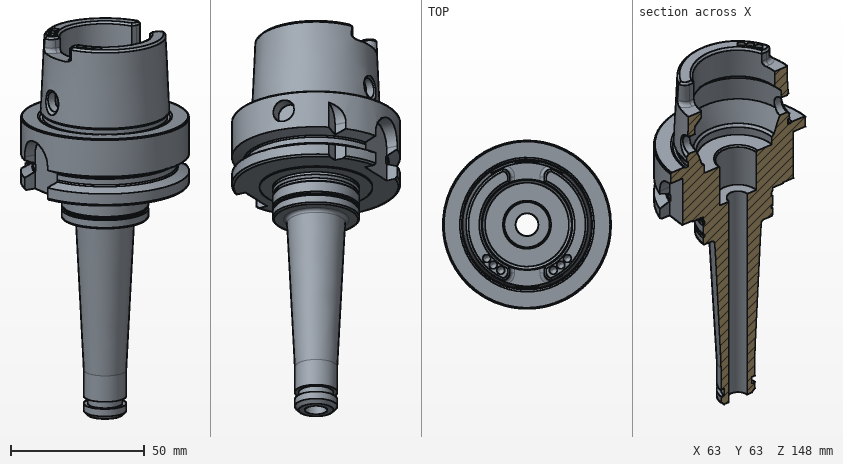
import cadquery as cq
import math

LENGTH = 148.0
FLANGE_TOP = 116.0
FLANGE_BOTTOM = 89.8

TAPER_TOP_R = 22.8
TAPER_BASE_R = 24.1
TAPER_BASE_Z = 118.1
UNDERCUT_R = 23.4
UNDERCUT_TOP = 117.4
RELIEF_R = 25.2
RELIEF_FLOOR_R = 24.4
RELIEF_FLOOR_Z = 115.6
RIM_CHAMFER = 0.9

FLANGE_R = 31.5
FLANGE_CHAMFER = 0.5
FLANGE_BOTTOM_CHAMFER = 0.7
GROOVE_FLOOR_R = 27.0
GROOVE_UPPER_EDGE_Z = 101.5
GROOVE_UPPER_FLOOR_Z = 99.6
GROOVE_LOWER_FLOOR_Z = 96.5
GROOVE_LOWER_EDGE_Z = 94.7
GROOVE_CORNER_CHAMFER = 0.5

PAD_R = 21.2
PAD_BOTTOM = 89.4
COLLAR_R = 16.3
COLLAR_BOTTOM = 76.7
COLLAR_CHAMFER = 0.6
COLLAR_GROOVE_DEPTH = 0.6
COLLAR_GROOVES = (
    (86.1, 87.2, 1.2),
    (80.5, 81.1, 0.5),
)
COLLAR_GROOVE_LOWER_SLOPE = 0.5

SHANK_TOP_R = 11.0
SHANK_FILLET = 1.3
TIP_R = 8.0
TIP_TOP = 17.3
TIP_CHAMFER = 1.5
NECK_R = 6.5
NECK_TOP = 7.1
NECK_BOTTOM = 4.3

BORE_R = 17.0
BORE_STRAIGHT_END = 135.3
CLAMP_R = 20.0
CLAMP_TOP = 132.3
CLAMP_BOTTOM = 122.8
SEAT_TOP = 114.0
SEAT_R = 15.7
SEAT_CHAMFER = 1.0
BORE_FLOOR = 109.5
THREAD_R = 8.5
THREAD_CHAMFER = 0.6
THREAD_BOTTOM = 91.8
THROUGH_R = 4.22

DRIVE_HALF_WIDTH = 6.4
DRIVE_FLAT_Y = 20.9
DRIVE_CORNER_R = 3.0
DRIVE_FLOOR_FILLET = 1.6
FRONT_DRIVE_FLOOR = 142.2
BACK_DRIVE_FLOOR = 138.2

MARK_R = 1.5
MARK_CIRCLE_R = 19.7
MARK_DEPTH = 1.5
MARK_ANGLES = (30, 40, 50)

CROSS_R = 3.77
CROSS_Z = 125.0
CROSS_SINK_R = 5.0

KEY_SLOT_R = 8.0
KEY_SLOT_Z = 103.0
KEY_SLOT_FLOOR_Y = 25.9
NOTCH_CORNER = 19.8
NOTCH_R = 8.0
NOTCH_Z = 104.2
CHIP_R = 4.22
CHIP_Z = 109.0
CHIP_ANGLE = 187.5
CHIP_DEPTH = 5.3

CLEAR = 37.0
EDGE_MARGIN = 0.1


def body():
    """Solid of revolution carrying every outer turned surface except the collar grooves."""
    outline = (
        cq.Workplane("XZ")
        .moveTo(0, 0)
        .lineTo(TIP_R - TIP_CHAMFER, 0)
        .lineTo(TIP_R, TIP_CHAMFER)
        .lineTo(TIP_R, NECK_BOTTOM)
        .lineTo(NECK_R, NECK_BOTTOM)
        .lineTo(NECK_R, NECK_TOP)
        .lineTo(TIP_R, NECK_TOP)
        .lineTo(TIP_R, TIP_TOP)
        .lineTo(SHANK_TOP_R, COLLAR_BOTTOM - SHANK_FILLET)
        .radiusArc((SHANK_TOP_R + SHANK_FILLET, COLLAR_BOTTOM), SHANK_FILLET)
        .lineTo(COLLAR_R - COLLAR_CHAMFER, COLLAR_BOTTOM)
        .lineTo(COLLAR_R, COLLAR_BOTTOM + COLLAR_CHAMFER)
        .lineTo(COLLAR_R, PAD_BOTTOM)
        .lineTo(PAD_R, PAD_BOTTOM)
        .lineTo(PAD_R, FLANGE_BOTTOM)
        .lineTo(FLANGE_R - FLANGE_BOTTOM_CHAMFER, FLANGE_BOTTOM)
        .lineTo(FLANGE_R, FLANGE_BOTTOM + FLANGE_BOTTOM_CHAMFER)
        .lineTo(FLANGE_R, GROOVE_LOWER_EDGE_Z)
        .lineTo(GROOVE_FLOOR_R, GROOVE_LOWER_FLOOR_Z)
        .lineTo(GROOVE_FLOOR_R, GROOVE_UPPER_FLOOR_Z)
        .lineTo(FLANGE_R, GROOVE_UPPER_EDGE_Z)
        .lineTo(FLANGE_R, FLANGE_TOP - FLANGE_CHAMFER)
        .lineTo(FLANGE_R - FLANGE_CHAMFER, FLANGE_TOP)
        .lineTo(RELIEF_R, FLANGE_TOP)
        .lineTo(RELIEF_FLOOR_R, RELIEF_FLOOR_Z)
        .lineTo(UNDERCUT_R, RELIEF_FLOOR_Z)
        .lineTo(UNDERCUT_R, UNDERCUT_TOP)
        .lineTo(TAPER_BASE_R, TAPER_BASE_Z)
        .lineTo(TAPER_TOP_R, LENGTH - RIM_CHAMFER)
        .lineTo(TAPER_TOP_R - RIM_CHAMFER, LENGTH)
        .lineTo(0, LENGTH)
        .close()
    )
    solid = outline.revolve(360, (0, 0, 0), (0, 1, 0))
    floor_edges = cq.selectors.BoxSelector(
        (-CLEAR, -CLEAR, GROOVE_LOWER_FLOOR_Z - EDGE_MARGIN),
        (CLEAR, CLEAR, GROOVE_UPPER_FLOOR_Z + EDGE_MARGIN),
    )
    return solid.edges("%CIRCLE").edges(floor_edges).chamfer(GROOVE_CORNER_CHAMFER)


def collar_groove(floor_bottom, floor_top, upper_slope):
    """Ring groove with a sloped wall above and below its floor."""
    floor_r = COLLAR_R - COLLAR_GROOVE_DEPTH
    profile = (
        cq.Workplane("XZ")
        .moveTo(COLLAR_R, floor_bottom - COLLAR_GROOVE_LOWER_SLOPE)
        .lineTo(floor_r, floor_bottom)
        .lineTo(floor_r, floor_top)
        .lineTo(COLLAR_R, floor_top + upper_slope)
        .close()
    )
    return profile.revolve(360, (0, 0, 0), (0, 1, 0))


def bore():
    outline = (
        cq.Workplane("XZ")
        .moveTo(0, 0)
        .lineTo(THROUGH_R, 0)
        .lineTo(THROUGH_R, THREAD_BOTTOM)
        .lineTo(THREAD_R, THREAD_BOTTOM)
        .lineTo(THREAD_R, BORE_FLOOR - THREAD_CHAMFER)
        .lineTo(THREAD_R + THREAD_CHAMFER, BORE_FLOOR)
        .lineTo(SEAT_R, BORE_FLOOR)
        .lineTo(SEAT_R, SEAT_TOP - SEAT_CHAMFER)
        .lineTo(SEAT_R + SEAT_CHAMFER, SEAT_TOP)
        .lineTo(CLAMP_R, CLAMP_BOTTOM)
        .lineTo(CLAMP_R, CLAMP_TOP)
        .lineTo(BORE_R, BORE_STRAIGHT_END)
        .lineTo(BORE_R, LENGTH - RIM_CHAMFER)
        .lineTo(BORE_R + RIM_CHAMFER, LENGTH)
        .lineTo(0, LENGTH)
        .close()
    )
    return outline.revolve(360, (0, 0, 0), (0, 1, 0))


def drive_slot_outline(z):
    """Plan of a slot toward -Y that widens outside around the two rounded rim ends."""
    arc_start_y = -(DRIVE_FLAT_Y - DRIVE_CORNER_R)
    arc_end_x = DRIVE_HALF_WIDTH + DRIVE_CORNER_R
    return (
        cq.Workplane("XY", origin=(0, 0, z))
        .moveTo(-DRIVE_HALF_WIDTH, 0)
        .lineTo(-DRIVE_HALF_WIDTH, arc_start_y)
        .radiusArc((-arc_end_x, -DRIVE_FLAT_Y), DRIVE_CORNER_R)
        .lineTo(-CLEAR, -DRIVE_FLAT_Y)
        .lineTo(-CLEAR, -CLEAR)
        .lineTo(CLEAR, -CLEAR)
        .lineTo(CLEAR, -DRIVE_FLAT_Y)
        .lineTo(arc_end_x, -DRIVE_FLAT_Y)
        .radiusArc((DRIVE_HALF_WIDTH, arc_start_y), DRIVE_CORNER_R)
        .lineTo(DRIVE_HALF_WIDTH, 0)
        .close()
    )


def drive_slot(floor_z):
    """Slot cutter with a filleted floor and a 45 degree flare at the rim."""
    slot = drive_slot_outline(floor_z).extrude(LENGTH - floor_z)
    slot = slot.faces("<Z").edges().fillet(DRIVE_FLOOR_FILLET)
    flare = drive_slot_outline(LENGTH - RIM_CHAMFER).extrude(RIM_CHAMFER, taper=-45)
    return slot.union(flare)


def rim_mark(angle):
    """Drilled mark with a 90 degree point, at an angle from -Y."""
    turn = math.radians(angle)
    x = MARK_CIRCLE_R * math.sin(turn)
    y = -MARK_CIRCLE_R * math.cos(turn)
    profile = (
        cq.Workplane("XZ")
        .moveTo(0, LENGTH)
        .lineTo(MARK_R, LENGTH)
        .lineTo(MARK_R, LENGTH - MARK_DEPTH)
        .lineTo(0, LENGTH - MARK_DEPTH - MARK_R)
        .close()
    )
    return profile.revolve(360, (0, 0, 0), (0, 1, 0)).translate((x, y, 0))


def cross_hole():
    """Countersunk hole running from the bore out through the -Y wall."""
    drill = (
        cq.Workplane("XY")
        .lineTo(CROSS_R, 0)
        .lineTo(CROSS_R, TAPER_BASE_R - (CROSS_SINK_R - CROSS_R))
        .lineTo(CROSS_SINK_R, TAPER_BASE_R)
        .lineTo(0, TAPER_BASE_R)
        .close()
        .revolve(360, (0, 0, 0), (0, 1, 0))
    )
    return drill.rotate((0, 0, 0), (0, 0, 1), 180).translate((0, 0, CROSS_Z))


def round_ended_slot(centre_x, radius, top_centre_z, floor_y):
    """Slot open at the flange bottom, its floor facing -Y and its upper end round."""
    height = top_centre_z - FLANGE_BOTTOM
    end = cq.Workplane("XZ", origin=(centre_x, -floor_y, top_centre_z)).circle(radius)
    run = cq.Workplane("XZ", origin=(centre_x, -floor_y, top_centre_z - height / 2))
    depth = CLEAR - floor_y
    return end.extrude(depth).union(run.rect(2 * radius, height).extrude(depth))


def chip_hole():
    blank = cq.Workplane("YZ", origin=(FLANGE_R - CHIP_DEPTH, 0, CHIP_Z)).circle(CHIP_R)
    return blank.extrude(CLEAR).rotate((0, 0, 0), (0, 0, 1), CHIP_ANGLE)


def half_turn(shape):
    return shape.rotate((0, 0, 0), (0, 0, 1), 180)


result = body().cut(bore())
result = result.cut(drive_slot(FRONT_DRIVE_FLOOR)).cut(half_turn(drive_slot(BACK_DRIVE_FLOOR)))

for groove in COLLAR_GROOVES:
    result = result.cut(collar_groove(*groove))

for mark_angle in MARK_ANGLES:
    result = result.cut(rim_mark(mark_angle)).cut(rim_mark(-mark_angle))

key_slot = round_ended_slot(0, KEY_SLOT_R, KEY_SLOT_Z, KEY_SLOT_FLOOR_Y)
result = result.cut(cross_hole()).cut(half_turn(cross_hole()))
result = result.cut(key_slot).cut(half_turn(key_slot))

result = result.cut(round_ended_slot(-NOTCH_CORNER - NOTCH_R, NOTCH_R, NOTCH_Z, NOTCH_CORNER))
result = result.cut(chip_hole())